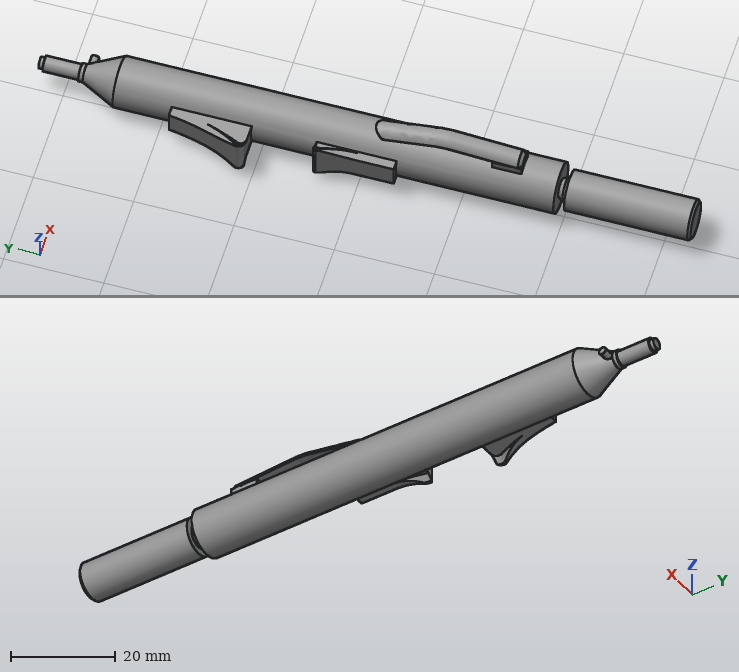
import cadquery as cq
import math


total_length = 130.8
knob_radius = 4.0
knob_edge_chamfer = 0.5
knob_front = 25.1
flange_radius = 2.5
flange_front = 25.9
neck_radius = 1.8
body_rear = 27.0
body_radius = 5.1
cone_rear = 114.9
collar_radius = 1.8
collar_rear = 121.8
collar_front = 122.7
tip_radius = 1.6
tip_step_length = 0.9
tip_step_inset = 0.4

pin_radius = 0.8
pin_end_x = 4.0
pin_y = collar_rear - pin_radius

lever_length = 16.0
lever_half_width = 2.4
lever_root_v = 2.6
rim_half_width = 3.5
rim_depth = 1.7
rim_slope = 45.0
flare_start_u = 7.9
flare_end_u = 14.4
front_lever_y = 103.2
rear_lever_y = 58.4

front_lever_low_v = 6.5
front_lever_top_v = 10.7
front_nose_radius = 1.2
front_nose_angle = math.radians(23)
front_face_mid_u = 7.1
front_face_mid_v = 8.0

rear_lever_low_v = 6.5
rear_lever_top_v = 7.5
rear_straight_u = 8.5
rear_nose_radius = 0.7

clip_half_width = 2.2
clip_thickness = 1.7
clip_arch_height = 1.6
clip_rear = 34.2
clip_rear_z = 7.7
clip_rear_bevel = 0.8
clip_bend_rear = 49.1
clip_bend_rear_z = 8.6
clip_bend_front = 51.4
clip_bend_front_z = 8.5
clip_front = 63.7
clip_front_z = 6.3
clip_front_slant = 2.4
foot_front = 40.0
foot_overlap = 0.1
foot_top_z = clip_rear_z - clip_thickness + foot_overlap


def make_turned_parts():
    """Knob, neck, body, cone, collar and stepped tip as one revolved shape."""
    outline = [
        (0, 0),
        (knob_radius - knob_edge_chamfer, 0),
        (knob_radius, knob_edge_chamfer),
        (knob_radius, knob_front),
        (flange_radius, knob_front),
        (flange_radius, flange_front),
        (neck_radius, body_rear),
        (body_radius, body_rear),
        (body_radius, cone_rear),
        (collar_radius, collar_rear),
        (collar_radius, collar_front),
        (tip_radius, collar_front),
        (tip_radius, total_length - tip_step_length),
        (tip_radius - tip_step_inset, total_length - tip_step_length),
        (tip_radius - tip_step_inset, total_length),
        (0, total_length),
    ]
    return cq.Workplane("XY").polyline(outline).close().revolve(360, (0, 0, 0), (0, 1, 0))


def make_pin():
    return cq.Workplane("YZ").center(pin_y, 0).circle(pin_radius).extrude(pin_end_x)


def front_lever_outline(plane):
    """Lever with a long hollow thumb face that runs into a rounded nose."""
    nose_u = lever_length - front_nose_radius
    nose_v = front_lever_top_v - front_nose_radius

    def on_nose(angle):
        return (nose_u + front_nose_radius * math.sin(angle), nose_v + front_nose_radius * math.cos(angle))

    return (
        plane.moveTo(0, lever_root_v)
        .lineTo(0, front_lever_low_v)
        .threePointArc((front_face_mid_u, front_face_mid_v), on_nose(-front_nose_angle))
        .threePointArc(on_nose(math.pi / 6), on_nose(math.pi / 2))
        .lineTo(lever_length, lever_root_v)
        .close()
    )


def rear_lever_outline(plane):
    """Lever with a straight face that curves up to a small rounded nose."""
    nose_u = lever_length - rear_nose_radius
    nose_v = rear_lever_top_v - rear_nose_radius
    return (
        plane.moveTo(0, lever_root_v)
        .lineTo(0, rear_lever_low_v)
        .lineTo(rear_straight_u, rear_lever_low_v)
        .tangentArcPoint((nose_u, rear_lever_top_v), relative=False)
        .radiusArc((lever_length, nose_v), rear_nose_radius)
        .lineTo(lever_length, lever_root_v)
        .close()
    )


def make_flare_envelope():
    """Plan of the lever seen square on its thumb face, widening along an arc on both sides."""
    step = rim_half_width - lever_half_width
    mid_u = (flare_start_u + flare_end_u) / 2
    mid_width = lever_half_width + step / 4
    return (
        cq.Workplane("XZ")
        .moveTo(flare_start_u, lever_half_width)
        .threePointArc((mid_u, mid_width), (flare_end_u, rim_half_width))
        .lineTo(lever_length, rim_half_width)
        .lineTo(lever_length, -rim_half_width)
        .lineTo(flare_end_u, -rim_half_width)
        .threePointArc((mid_u, -mid_width), (flare_start_u, -lever_half_width))
        .close()
        .extrude(-body_radius - front_lever_top_v)
    )


def make_lever(outline):
    """Flat blade whose thumb face carries a flared rim, sloping back to the blade sides."""
    blade = outline(cq.Workplane("XY")).extrude(lever_half_width, both=True)
    rim = outline(cq.Workplane("XY")).extrude(rim_half_width, both=True)
    undercut = (
        outline(cq.Workplane("XY", origin=(0, -rim_depth, lever_half_width)))
        .extrude(rim_half_width - lever_half_width, taper=-rim_slope)
    )
    rim = rim.cut(undercut).cut(undercut.mirror("XY"))
    return blade.union(rim.intersect(make_flare_envelope()))


def make_clip():
    path = (
        cq.Workplane("YZ")
        .moveTo(clip_rear, clip_rear_z)
        .lineTo(clip_bend_rear, clip_bend_rear_z)
        .lineTo(clip_bend_front, clip_bend_front_z)
        .lineTo(clip_front, clip_front_z)
    )
    shoulder_z = clip_rear_z - clip_arch_height
    underside_z = clip_rear_z - clip_thickness
    bar = (
        cq.Workplane("XZ", origin=(0, clip_rear, 0))
        .moveTo(-clip_half_width, underside_z)
        .lineTo(-clip_half_width, shoulder_z)
        .threePointArc((0, clip_rear_z), (clip_half_width, shoulder_z))
        .lineTo(clip_half_width, underside_z)
        .close()
        .sweep(path, transition="right")
    )
    bar = bar.faces("<Y").edges(">Z").chamfer(clip_rear_bevel)
    slanted_end = (
        cq.Workplane("YZ")
        .moveTo(clip_front, clip_front_z)
        .lineTo(clip_front - clip_front_slant, clip_front_z - clip_thickness)
        .lineTo(clip_front, clip_front_z - 2 * clip_thickness)
        .close()
        .extrude(clip_half_width * 2, both=True)
    )
    foot_length = foot_front - clip_rear
    foot = (
        cq.Workplane("XY")
        .center(0, clip_rear + foot_length / 2)
        .rect(2 * clip_half_width, foot_length)
        .extrude(foot_top_z)
    )
    return bar.cut(slanted_end).union(foot)


front_lever = (
    make_lever(front_lever_outline)
    .rotate((0, 0, 0), (0, 0, 1), -90)
    .mirror("YZ")
    .translate((0, front_lever_y, 0))
)
rear_lever = (
    make_lever(rear_lever_outline)
    .rotate((0, 0, 0), (0, 0, 1), 90)
    .translate((0, rear_lever_y, 0))
)

result = (
    make_turned_parts()
    .union(make_pin())
    .union(front_lever)
    .union(rear_lever)
    .union(make_clip())
)